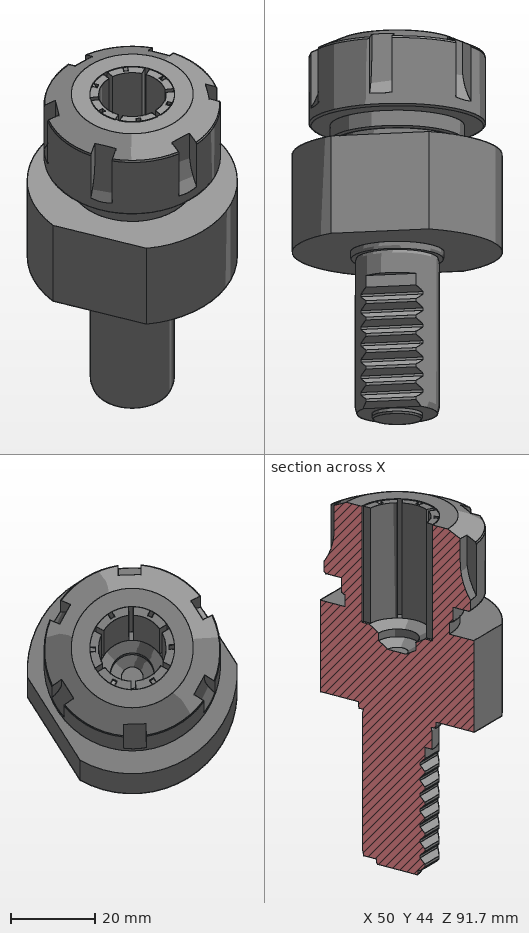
import cadquery as cq
import math

TOTAL_HEIGHT = 91.68
TOP_Z = 50.9
BOTTOM_Z = TOP_Z - TOTAL_HEIGHT

FLANGE_DIAMETER = 50.0
FLANGE_WIDTH = 44.0
FLANGE_HEIGHT = 23.8

SEAL_RADIUS = 22.33 / 2
SEAL_HEIGHT = 1.65
SEAL_CHAMFER_HEIGHT = 0.65
SEAL_CHAMFER_DEPTH = 0.2

SHANK_RADIUS = 10.0
SHANK_BOTTOM_Z = -39.5
SHANK_TOP_TAPER_Z = -2.5
SHANK_TAPER_DEPTH = 0.25
SHANK_END_TAPER_HEIGHT = 1.4
SHANK_END_TAPER_DEPTH = 0.4
PLUG_RADIUS = 6.0
PLUG_END_RADIUS = 11.4 / 2
PLUG_CHAMFER_HEIGHT = 0.5

FLAT_Y = 7.95
FLAT_TOP_Z = -7.3
TOOTH_PITCH = 4.0
TOOTH_COUNT = 8
TOOTH_DEPTH = 1.35
FIRST_VALLEY_Z = -11.8
VALLEY_FLAT = 0.6

NECK_RADIUS = 15.0
COLLAR_RADIUS = 16.0
COLLAR_END_RADIUS = 30.5 / 2
COLLAR_CHAMFER_HEIGHT = 0.4
COLLAR_BOTTOM_Z = 26.8

NUT_RADIUS = 21.0
NUT_HEIGHT = 20.0
NUT_TOP_RADIUS = 14.5
NUT_CONE_EDGE_RADIUS = 20.8
NUT_CONE_ANGLE = 25.0
NUT_BEVEL_HEIGHT = 0.5
NUT_CHAMFER = 0.5

FIRST_SLOT_ANGLE = 30.0

WRENCH_SLOT_COUNT = 6
WRENCH_SLOT_WIDTH = 5.4
WRENCH_SLOT_FLOOR = 18.1
WRENCH_SLOT_STRAIGHT_DEPTH = 7.75
WRENCH_SLOT_ARC_RADIUS = 16.0
WRENCH_SLOT_OVERSHOOT = 1.0

COLLET_RADIUS = 20.13 / 2
COLLET_BORE_RADIUS = 8.0
COLLET_RECESS = 0.2
BORE_DEPTH = 30.0
PILOT_RADIUS = 10.5 / 2
PILOT_END_RADIUS = 5.2 / 2
PILOT_DEPTH = 2.0
BORE_CONE_ANGLE = 31.0
SLIT_COUNT = 6
SLIT_WIDTH = 1.1
POCKET_INNER_RADIUS = 8.75


def revolved(points):
    """Solid of revolution about Z from (radius, height) points."""
    return cq.Workplane("XZ").polyline(points).close().revolve(360, (0, 0, 0), (0, 1, 0))


def flange():
    """Disc with two flats, each round side being one arc."""
    radius = FLANGE_DIAMETER / 2
    half_width = FLANGE_WIDTH / 2
    half_flat = math.sqrt(radius**2 - half_width**2)
    return (
        cq.Workplane("XY")
        .moveTo(-half_flat, -half_width)
        .lineTo(half_flat, -half_width)
        .threePointArc((radius, 0), (half_flat, half_width))
        .lineTo(-half_flat, half_width)
        .threePointArc((-radius, 0), (-half_flat, -half_width))
        .close()
        .extrude(FLANGE_HEIGHT)
    )


def shank():
    return revolved(
        [
            (0, 0),
            (SEAL_RADIUS, 0),
            (SEAL_RADIUS, SEAL_CHAMFER_HEIGHT - SEAL_HEIGHT),
            (SEAL_RADIUS - SEAL_CHAMFER_DEPTH, -SEAL_HEIGHT),
            (SHANK_RADIUS - SHANK_TAPER_DEPTH, -SEAL_HEIGHT),
            (SHANK_RADIUS, SHANK_TOP_TAPER_Z),
            (SHANK_RADIUS, SHANK_BOTTOM_Z + SHANK_END_TAPER_HEIGHT),
            (SHANK_RADIUS - SHANK_END_TAPER_DEPTH, SHANK_BOTTOM_Z),
            (PLUG_RADIUS, SHANK_BOTTOM_Z),
            (PLUG_RADIUS, BOTTOM_Z + PLUG_CHAMFER_HEIGHT),
            (PLUG_END_RADIUS, BOTTOM_Z),
            (0, BOTTOM_Z),
        ]
    )


def shank_teeth_cut():
    """Everything removed from the +Y side of the shank: the flat and the V valleys."""
    outside_y = 2 * SHANK_RADIUS
    valley_y = FLAT_Y - TOOTH_DEPTH
    half_valley = VALLEY_FLAT / 2
    half_mouth = half_valley + TOOTH_DEPTH
    outline = cq.Workplane("YZ").moveTo(outside_y, FLAT_TOP_Z).lineTo(FLAT_Y, FLAT_TOP_Z)
    for index in range(TOOTH_COUNT):
        valley_z = FIRST_VALLEY_Z - index * TOOTH_PITCH
        outline = (
            outline.lineTo(FLAT_Y, valley_z + half_mouth)
            .lineTo(valley_y, valley_z + half_valley)
            .lineTo(valley_y, valley_z - half_valley)
            .lineTo(FLAT_Y, valley_z - half_mouth)
        )
    outline = outline.lineTo(outside_y, valley_z - half_mouth).close()
    return outline.extrude(SHANK_RADIUS, both=True)


def nut_and_neck():
    nut_bottom_z = TOP_Z - NUT_HEIGHT
    cone_height = (NUT_CONE_EDGE_RADIUS - NUT_TOP_RADIUS) * math.tan(math.radians(NUT_CONE_ANGLE))
    cone_edge_z = TOP_Z - cone_height
    return revolved(
        [
            (0, FLANGE_HEIGHT),
            (NECK_RADIUS, FLANGE_HEIGHT),
            (NECK_RADIUS, COLLAR_BOTTOM_Z),
            (COLLAR_END_RADIUS, COLLAR_BOTTOM_Z),
            (COLLAR_RADIUS, COLLAR_BOTTOM_Z + COLLAR_CHAMFER_HEIGHT),
            (COLLAR_RADIUS, nut_bottom_z),
            (NUT_RADIUS - NUT_CHAMFER, nut_bottom_z),
            (NUT_RADIUS, nut_bottom_z + NUT_CHAMFER),
            (NUT_RADIUS, cone_edge_z - NUT_BEVEL_HEIGHT),
            (NUT_CONE_EDGE_RADIUS, cone_edge_z),
            (NUT_TOP_RADIUS, TOP_Z),
            (0, TOP_Z),
        ]
    )


def spread(tool, count, start_angle=0.0):
    """Copies of a tool turned evenly about Z, joined in one workplane."""
    copies = cq.Workplane("XY")
    for index in range(count):
        angle = start_angle + index * 360.0 / count
        copies = copies.add(tool.rotate((0, 0, 0), (0, 0, 1), angle))
    return copies.combine()


def wrench_slots():
    """Radial slots whose flat floor runs out through the nut wall along an arc."""
    arc_start_z = TOP_Z - WRENCH_SLOT_STRAIGHT_DEPTH
    outer = NUT_RADIUS + WRENCH_SLOT_OVERSHOOT
    run_out = outer - WRENCH_SLOT_FLOOR
    arc_angle = math.acos(1 - run_out / WRENCH_SLOT_ARC_RADIUS)

    def arc_point(angle):
        return (
            WRENCH_SLOT_FLOOR + WRENCH_SLOT_ARC_RADIUS * (1 - math.cos(angle)),
            arc_start_z - WRENCH_SLOT_ARC_RADIUS * math.sin(angle),
        )

    tool = (
        cq.Workplane("XZ")
        .moveTo(WRENCH_SLOT_FLOOR, TOP_Z)
        .lineTo(WRENCH_SLOT_FLOOR, arc_start_z)
        .threePointArc(arc_point(arc_angle / 2), arc_point(arc_angle))
        .lineTo(outer, TOP_Z)
        .close()
        .extrude(WRENCH_SLOT_WIDTH / 2, both=True)
    )
    return spread(tool, WRENCH_SLOT_COUNT, FIRST_SLOT_ANGLE)


def collet_bore():
    """Recessed collet face, bore, and the conical bottom with its pilot hole."""
    bore_bottom_z = TOP_Z - BORE_DEPTH
    cone_slope = math.tan(math.radians(BORE_CONE_ANGLE))
    pilot_top_z = bore_bottom_z - (COLLET_BORE_RADIUS - PILOT_RADIUS) * cone_slope
    pilot_cone_z = pilot_top_z - PILOT_DEPTH
    pilot_end_z = pilot_cone_z - (PILOT_RADIUS - PILOT_END_RADIUS) * cone_slope
    return revolved(
        [
            (0, TOP_Z),
            (COLLET_RADIUS, TOP_Z),
            (COLLET_RADIUS, TOP_Z - COLLET_RECESS),
            (COLLET_BORE_RADIUS, TOP_Z - COLLET_RECESS),
            (COLLET_BORE_RADIUS, bore_bottom_z),
            (PILOT_RADIUS, pilot_top_z),
            (PILOT_RADIUS, pilot_cone_z),
            (PILOT_END_RADIUS, pilot_end_z),
            (0, pilot_end_z),
        ]
    )


def collet_slits():
    """Slits through the collet wall, as deep as the bore."""
    tool = cq.Workplane("XY").box(COLLET_RADIUS, SLIT_WIDTH, BORE_DEPTH, centered=(False, True, False))
    return spread(tool.translate((0, 0, TOP_Z - BORE_DEPTH)), SLIT_COUNT, FIRST_SLOT_ANGLE)


def collet_pockets():
    """Short pockets between the slits, with a floor that falls towards the axis."""
    depth = COLLET_RADIUS - POCKET_INNER_RADIUS
    tool = (
        cq.Workplane("XZ")
        .moveTo(POCKET_INNER_RADIUS, TOP_Z)
        .lineTo(COLLET_RADIUS, TOP_Z)
        .lineTo(COLLET_RADIUS, TOP_Z - COLLET_RECESS)
        .lineTo(POCKET_INNER_RADIUS, TOP_Z - COLLET_RECESS - depth)
        .close()
        .extrude(SLIT_WIDTH / 2, both=True)
    )
    return spread(tool, SLIT_COUNT)


result = flange().union(shank().cut(shank_teeth_cut())).union(nut_and_neck())
result = result.cut(wrench_slots()).cut(collet_bore()).cut(collet_slits()).cut(collet_pockets())